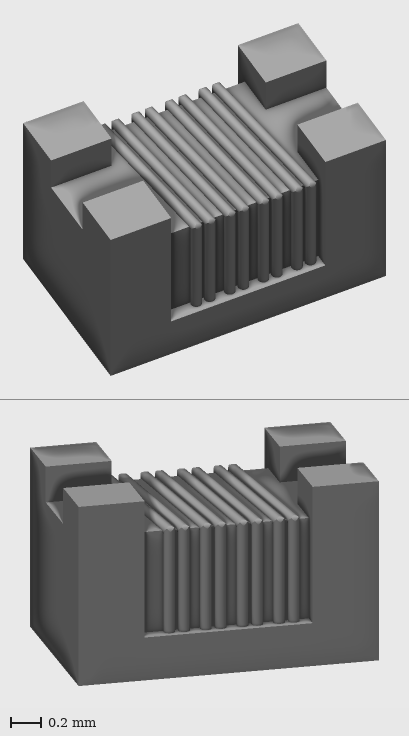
import cadquery as cq

body_width = 1.25
body_length = 2.05
body_height = 1.25
end_length = 0.45
post_width = 0.4
channel_depth = 0.25
window_floor = 0.3
window_depth = 0.1

channel_width = body_width - 2 * post_width
core_length = body_length - 2 * end_length
core_width = body_width - 2 * window_depth
core_top = body_height - channel_depth

wire_radius = 0.039
corner_radius = 0.035
wire_side_reach = 0.06
pair_count = 4
wires_per_pair = 2
pair_pitch = 0.25
wire_gap = 0.1
wire_lead = 0.119
first_wire_y = 0.385

leg_x = core_width / 2 + wire_side_reach - wire_radius
leg_root = window_floor / 2


def make_body():
    """Base, four corner posts and the core that carries the winding."""
    body = cq.Workplane("XY").box(body_width, body_length, body_height, centered=(True, True, False))
    channel = (
        cq.Workplane("XY")
        .workplane(offset=core_top)
        .rect(channel_width, body_length)
        .extrude(channel_depth)
    )
    opening = (
        cq.Workplane("XY")
        .workplane(offset=window_floor)
        .rect(body_width, core_length)
        .extrude(body_height - window_floor)
    )
    core = (
        cq.Workplane("XY")
        .workplane(offset=window_floor)
        .rect(core_width, core_length)
        .extrude(core_top - window_floor)
    )
    return body.cut(channel).cut(opening).union(core)


def make_wire():
    """One staple-shaped wire whose -X leg stands at Y = 0."""
    path = cq.Workplane("XY").polyline([
        (-leg_x, 0, leg_root),
        (-leg_x, 0, core_top),
        (leg_x, wire_lead, core_top),
        (leg_x, wire_lead, leg_root),
    ])
    section = cq.Workplane("XY", origin=(-leg_x, 0, leg_root)).circle(wire_radius)
    staple = section.sweep(path, transition="right")

    span = 2 * (leg_x + wire_radius)
    slab_thickness = wire_lead + 4 * wire_radius
    drop = core_top + wire_radius - leg_root
    rounded_slab = (
        cq.Workplane("XY", origin=(0, wire_lead / 2, leg_root))
        .box(span, slab_thickness, drop, centered=(True, True, False))
        .edges("|Y and >Z")
        .fillet(corner_radius)
    )
    return staple.intersect(rounded_slab)


result = make_body()
wire = make_wire()
for pair in range(pair_count):
    for place in range(wires_per_pair):
        wire_y = first_wire_y - pair * pair_pitch - place * wire_gap
        result = result.union(wire.translate((0, wire_y, 0)))